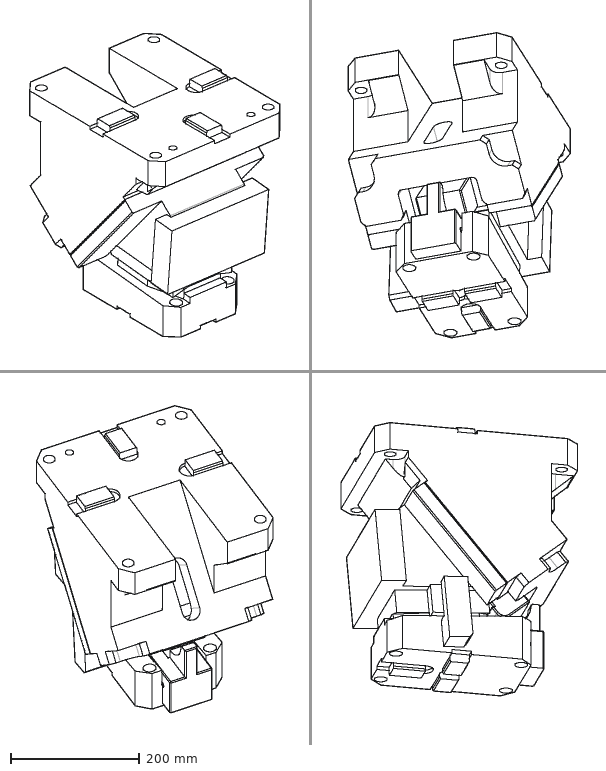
import cadquery as cq
import math


LENGTH = 325.0
WIDTH = 270.0
HEIGHT = 372.0
HALF_WIDTH = WIDTH / 2
FAR = 744.0

KEY_LENGTH = 51.0
KEY_WIDTH = 31.2
KEY_PROUD = 8.5
KEY_SEAT = 5.5
KEY_BEVEL_HEIGHT = 3.5
KEY_BEVEL_WIDTH = 1.5

PLATE_TOP = HEIGHT - KEY_PROUD
PLATE_THICKNESS = 45.0
PLATE_BOTTOM = PLATE_TOP - PLATE_THICKNESS
PLATE_CORNER_X = 20.0
PLATE_CORNER_Y = 18.5
BOLT_INSET_X = 25.3
BOLT_HALF_SPACING = 115.5
BOLT_DIAMETER = 18.2
DOWEL_HALF_SPACING = 80.0
DOWEL_DIAMETER = 12.5
DOWEL_DEPTH = 29.8
PLATE_SIDE_KEY_X = 180.5
PLATE_SIDE_KEY_Y = 69.2
PLATE_END_KEY_X = 255.0

SLIDE_ANGLE = 50.0
TIP_X = 7.5
TIP_Z = 176.5
SLIDE_COS = math.cos(math.radians(SLIDE_ANGLE))
SLIDE_SIN = math.sin(math.radians(SLIDE_ANGLE))
SLIDE_FACE = 125.7
SLIDE_START = 19.7
SLIDE_END = 225.5
RELIEF_FACE = 121.0

WALL_LEFT = 45.8
WALL_RIGHT = 275.3
TROUGH_HALF = 45.0
GUSSET_HALF = 95.2
GUSSET_FILLET = 15.5
GUSSET_LEFT_X = 1.5
GUSSET_LEFT_DROP = 39.0
RIB_FACE = 135.0
RIB_START = 236.0
RIB_HALF = 113.5
RIB_BEVEL = 13.0
TROUGH_SLOT_WIDTH = 30.0
TROUGH_SLOT_LENGTH = 100.5
TROUGH_SLOT_START = 29.8
TROUGH_SLOT_DEPTH = 35.5
TROUGH_RECESS_FLOOR = 176.5
TROUGH_RECESS_X = 62.0
TROUGH_RECESS_RUN = 7.5
TROUGH_RECESS_RISE = 19.7
NOTCH_DEPTH = 21.2
NOTCH_MOUTH_Y = 86.3
NOTCH_FLOOR_Y = 95.0
NOTCH_BEVEL_Y = 126.5
NOTCH_BEVEL = 8.5
NOTCH_ARC_START = 25.3
NOTCH_WALL = 49.5
NOTCH_MOUTH = 57.5
STEP_ACROSS = 106.0
STEP_BEVEL_ACROSS = 8.5
STEP_BEVEL_Y = 6.0
POCKET_HALF = 64.7
POCKET_ACROSS = 57.5
POCKET_DEPTH = 63.2
POCKET_CORNER = 7.5
TONGUE_HALF = 37.5
TONGUE_ACROSS = 72.0
TONGUE_END = 128.7
TONGUE_PROUD = 7.5
TONGUE_NOSE = 15.3
TONGUE_BEVEL = 2.2

DRIVER_LEFT = 60.5
DRIVER_RIGHT = 291.0
DRIVER_HALF = 76.0
DRIVER_BOTTOM = KEY_PROUD
DRIVER_FRONT_CORNER_X = 18.5
DRIVER_REAR_CORNER_X = 20.0
DRIVER_CORNER_Y = 20.0
DRIVER_TILT = 5.0
DRIVER_TOP_LEFT = 82.5
DRIVER_BOLT_INSET_X = 15.0
DRIVER_BOLT_HALF = 53.0
DRIVER_BOLT_DIAMETER = 20.0
DRIVER_SIDE_KEY_X = 176.0
DRIVER_SIDE_KEY_Y = 9.5
DRIVER_END_KEY_X = 220.2
GUIDE_START = 66.2
GUIDE_END = 215.8
GUIDE_TAPER_START = 155.0
GUIDE_HALF = 60.3
GUIDE_CORNER = 17.0
GUIDE_EAVE = 11.5
GUIDE_RIDGE = 20.0
GUIDE_RIDGE_HALF = 30.5
PAD_HALF = 37.2
PAD_HEIGHT = 10.8
CHANNEL_HALF = 38.7
CHANNEL_FLOOR = 51.7
CHANNEL_END = 108.0
STOP_LEFT = 35.0
STOP_HALF = 37.2
STOP_BOTTOM = 13.0
STOP_TOP = 76.5
STOP_BEVEL = 2.0
FINGER_HALF = 10.8
FINGER_RIGHT = 88.5
STOP_SLOT_HALF = 14.0
FINGER_TOP = 131.5
FINGER_THICKNESS = 15.0
FINGER_TOE_TOP = 91.5
STOP_PIN_X = 61.5
STOP_PIN_DIAMETER = 9.0
STOP_PIN_LENGTH = 76.0

FLANGE_THICKNESS = 25.3
FLANGE_BEVEL = 2.2
FLANGE_GAP_HALF = 76.5
BODY_UNDERSIDE = 49.5
BODY_HALF = 76.0
BODY_TOP_ACROSS = 178.2
BLOCK_START = 206.0
BLOCK_THICKNESS = 39.8
BLOCK_HALF = 99.5
BLOCK_TOP = 169.3
HOOK_START = 111.5
HOOK_LENGTH = 38.0
HOOK_BEVEL = 5.5
HOOK_INNER = 96.5
HOOK_OUTER = 118.0
HOOK_FOOT_TOP = -7.8
HOOK_FOOT_BOTTOM = -52.0
LUG_START = 115.5
LUG_BOTTOM = 3.0
LUG_FRONT_LENGTH = 16.5
LUG_BACK_LENGTH = 48.5
LUG_BACK_HALF = 83.0

SLIDE_PROFILE = cq.Plane(
    origin=(TIP_X, 0, TIP_Z), xDir=(SLIDE_SIN, 0, -SLIDE_COS), normal=(0, -1, 0))
SLIDE_PLAN = cq.Plane(
    origin=(TIP_X, 0, TIP_Z), xDir=(SLIDE_SIN, 0, -SLIDE_COS), normal=(SLIDE_COS, 0, SLIDE_SIN))

TILT_COS = math.cos(math.radians(DRIVER_TILT))
TILT_SIN = math.sin(math.radians(DRIVER_TILT))
TILT_PROFILE = cq.Plane(
    origin=(DRIVER_LEFT, 0, DRIVER_TOP_LEFT), xDir=(TILT_COS, 0, -TILT_SIN), normal=(0, -1, 0))
TILT_PLAN = cq.Plane(
    origin=(DRIVER_LEFT, 0, DRIVER_TOP_LEFT), xDir=(TILT_COS, 0, -TILT_SIN), normal=(TILT_SIN, 0, TILT_COS))


def slide_point(across, along):
    """X and Z of a position in the slide frame."""
    x = TIP_X + across * SLIDE_SIN + along * SLIDE_COS
    z = TIP_Z - across * SLIDE_COS + along * SLIDE_SIN
    return x, z


def tilt_point(distance, height):
    """X and Z of a position measured along and square to the driver's tilted top."""
    x = DRIVER_LEFT + distance * TILT_COS + height * TILT_SIN
    z = DRIVER_TOP_LEFT - distance * TILT_SIN + height * TILT_COS
    return x, z


def prism(plane, points, y_low, y_high):
    """Extrude a profile lying in an X-Z type plane from y_low to y_high."""
    outline = cq.Workplane(plane).workplane(offset=-y_high).polyline(points).close()
    return outline.extrude(y_high - y_low)


def box(x_range, y_range, z_range):
    size = [high - low for low, high in (x_range, y_range, z_range)]
    return cq.Workplane("XY").box(*size, centered=False).translate((x_range[0], y_range[0], z_range[0]))


def tilted_box(distances, y_range, heights):
    """Box standing square on the driver's tilted top."""
    (start, end), (low, high) = distances, heights
    points = [(start, low), (end, low), (end, high), (start, high)]
    return prism(TILT_PROFILE, points, *y_range)


def mirrored_pair(shape):
    return shape.union(shape.mirror("XZ"))



def key_bar():
    """Key lying along +X from the origin, standing on its seat, with bevelled top edges."""
    half = KEY_WIDTH / 2
    height = KEY_SEAT + KEY_PROUD
    bevel_start = height - KEY_BEVEL_HEIGHT
    section = [(-half, 0), (half, 0), (half, bevel_start), (half - KEY_BEVEL_WIDTH, height),
               (KEY_BEVEL_WIDTH - half, height), (-half, bevel_start)]
    return cq.Workplane("YZ").polyline(section).close().extrude(KEY_LENGTH)


def key_slot(reach):
    """Slot round-ended behind the key and running out to the edge at +reach."""
    half = KEY_WIDTH / 2
    slot = cq.Workplane("XY").moveTo(0, -half).lineTo(reach, -half).lineTo(reach, half).lineTo(0, half)
    return slot.threePointArc((-half, 0), (0, -half)).close().extrude(KEY_SEAT)


def add_keys(body, seats, face_z, faces_up):
    """Fit a key at each seat: (x, y, heading in degrees, distance to the edge)."""
    def place(shape, seat):
        x, y, heading, _ = seat
        if not faces_up:
            shape = shape.mirror("XY")
        floor = face_z - KEY_SEAT if faces_up else face_z + KEY_SEAT
        return shape.rotate((0, 0, 0), (0, 0, 1), heading).translate((x, y, floor))

    for seat in seats:
        body = body.cut(place(key_slot(seat[3]), seat))
    for seat in seats:
        body = body.union(place(key_bar(), seat))
    return body



def holder_plate():
    corners = [(0, HALF_WIDTH - PLATE_CORNER_Y), (PLATE_CORNER_X, HALF_WIDTH),
               (LENGTH - PLATE_CORNER_X, HALF_WIDTH), (LENGTH, HALF_WIDTH - PLATE_CORNER_Y)]
    outline = corners + [(x, -y) for x, y in reversed(corners)]
    return cq.Workplane("XY", origin=(0, 0, PLATE_BOTTOM)).polyline(outline).close().extrude(PLATE_THICKNESS)


def holder_core():
    """Full-width wedge between the plate and the sliding face."""
    wall_foot = (WALL_LEFT - TIP_X) / SLIDE_COS
    relief_x, relief_z = slide_point(RELIEF_FACE, 0)
    wall_right_z = relief_z + (WALL_RIGHT - relief_x) * SLIDE_SIN / SLIDE_COS
    outline = [(WALL_LEFT, PLATE_BOTTOM), slide_point(0, wall_foot), (TIP_X, TIP_Z),
               slide_point(SLIDE_FACE, 0), slide_point(SLIDE_FACE, SLIDE_END),
               slide_point(RELIEF_FACE, SLIDE_END), (WALL_RIGHT, wall_right_z), (WALL_RIGHT, PLATE_BOTTOM)]
    return prism("XZ", outline, -HALF_WIDTH, HALF_WIDTH)


def gusset_plan(wall_x, outward):
    """Rib from a wall, widening into the wall through concave round corners."""
    end_x = wall_x + outward * LENGTH / 2
    fillet_x = wall_x + outward * GUSSET_FILLET
    foot = GUSSET_HALF + GUSSET_FILLET
    mid = GUSSET_FILLET * (1 - math.sqrt(0.5))
    plan = cq.Workplane("XY").moveTo(end_x, -GUSSET_HALF).lineTo(fillet_x, -GUSSET_HALF)
    plan = plan.threePointArc((wall_x + outward * mid, -GUSSET_HALF - mid), (wall_x, -foot))
    plan = plan.lineTo(wall_x, foot)
    plan = plan.threePointArc((wall_x + outward * mid, GUSSET_HALF + mid), (fillet_x, GUSSET_HALF))
    return plan.lineTo(end_x, GUSSET_HALF).close().extrude(PLATE_BOTTOM)


def left_gusset():
    side = [(GUSSET_LEFT_X, PLATE_BOTTOM), (WALL_LEFT, PLATE_BOTTOM),
            (WALL_LEFT, PLATE_BOTTOM - GUSSET_LEFT_DROP)]
    return gusset_plan(WALL_LEFT, -1).intersect(prism("XZ", side, -HALF_WIDTH, HALF_WIDTH))


def rib_top_along():
    """Along-position where the rib's outer face meets the plate."""
    return (PLATE_BOTTOM - TIP_Z + RIB_FACE * SLIDE_COS) / SLIDE_SIN


def right_gusset():
    side = [(WALL_RIGHT, PLATE_BOTTOM), slide_point(RIB_FACE, rib_top_along()),
            slide_point(RIB_FACE, RIB_START), slide_point(RELIEF_FACE, RIB_START)]
    return gusset_plan(WALL_RIGHT, 1).intersect(prism("XZ", side, -HALF_WIDTH, HALF_WIDTH))


def sloped_rib():
    """Bevelled rib standing on the relief face, cut off by the right-hand wall."""
    section = [(RELIEF_FACE, -RIB_HALF), (RIB_FACE, RIB_BEVEL - RIB_HALF),
               (RIB_FACE, RIB_HALF - RIB_BEVEL), (RELIEF_FACE, RIB_HALF)]
    rib = cq.Workplane(SLIDE_PLAN).workplane(offset=RIB_START).polyline(section).close()
    rib = rib.extrude(rib_top_along() - RIB_START)
    return rib.intersect(box((0, WALL_RIGHT), (-HALF_WIDTH, HALF_WIDTH), (0, PLATE_TOP)))


def trough():
    """Central opening above the back slope."""
    top_along = (PLATE_TOP - TIP_Z) / SLIDE_SIN
    outline = [(TIP_X, TIP_Z), slide_point(0, top_along), (-TIP_X, PLATE_TOP), (-TIP_X, TIP_Z)]
    return prism("XZ", outline, -TROUGH_HALF, TROUGH_HALF)


def trough_slot():
    """Round-ended slot in the back slope, with a level recess sunk in its lower end."""
    middle = TROUGH_SLOT_START + TROUGH_SLOT_LENGTH / 2
    x, z = slide_point(0, middle)
    back_slope = cq.Plane(origin=(x, 0, z), xDir=(SLIDE_COS, 0, SLIDE_SIN), normal=(-SLIDE_SIN, 0, SLIDE_COS))

    def round_ended(depth):
        return cq.Workplane(back_slope).slot2D(TROUGH_SLOT_LENGTH, TROUGH_SLOT_WIDTH).extrude(-depth)

    recess_top = TROUGH_RECESS_FLOOR + TROUGH_RECESS_RISE
    recess_side = [(0, TROUGH_RECESS_FLOOR), (TROUGH_RECESS_X, TROUGH_RECESS_FLOOR),
                   (TROUGH_RECESS_X + TROUGH_RECESS_RUN, recess_top), (0, recess_top)]
    recess = prism("XZ", recess_side, -TROUGH_SLOT_WIDTH, TROUGH_SLOT_WIDTH)
    recess = recess.intersect(round_ended(2 * TROUGH_SLOT_DEPTH))
    return round_ended(TROUGH_SLOT_DEPTH).union(recess)


def tip_notch():
    """Clearance notch in one lower corner: bevelled mouths and one round inner corner."""
    radius = NOTCH_WALL - NOTCH_ARC_START
    middle = radius * math.sqrt(0.5)
    arc_end_y = NOTCH_FLOOR_Y + radius
    plan = cq.Workplane(SLIDE_PLAN).moveTo(0, NOTCH_MOUTH_Y).lineTo(NOTCH_BEVEL, NOTCH_FLOOR_Y)
    plan = plan.lineTo(NOTCH_ARC_START, NOTCH_FLOOR_Y)
    plan = plan.threePointArc((NOTCH_ARC_START + middle, arc_end_y - middle), (NOTCH_WALL, arc_end_y))
    plan = plan.lineTo(NOTCH_WALL, NOTCH_BEVEL_Y).lineTo(NOTCH_MOUTH, HALF_WIDTH).lineTo(0, HALF_WIDTH)
    return plan.close().extrude(NOTCH_DEPTH)


def end_step():
    """Step in one lower outer corner beside the sliding face, with bevelled ends."""
    bevel_start = STEP_ACROSS - STEP_BEVEL_ACROSS
    plan = [(bevel_start, HALF_WIDTH), (STEP_ACROSS, HALF_WIDTH - STEP_BEVEL_Y),
            (STEP_ACROSS, POCKET_HALF + STEP_BEVEL_Y), (bevel_start, POCKET_HALF),
            (SLIDE_FACE, POCKET_HALF), (SLIDE_FACE, HALF_WIDTH)]
    return cq.Workplane(SLIDE_PLAN).polyline(plan).close().extrude(SLIDE_START)


def tongue_pocket():
    length = SLIDE_FACE - POCKET_ACROSS
    pocket = cq.Workplane(SLIDE_PLAN).center(POCKET_ACROSS + length / 2, 0).rect(length, 2 * POCKET_HALF)
    pocket = pocket.extrude(POCKET_DEPTH)
    low_x, low_z = slide_point(POCKET_ACROSS, POCKET_DEPTH / 2)
    for side in (-1, 1):
        corner = cq.selectors.NearestToPointSelector((low_x, side * POCKET_HALF, low_z))
        pocket = pocket.edges(corner).fillet(POCKET_CORNER)
    return pocket


def tongue():
    """Round-nosed guide with bevelled sides, standing in the pocket and reaching out of the lower face."""
    nose_middle = TONGUE_NOSE * (1 - math.sqrt(0.5))
    side = cq.Workplane(SLIDE_PROFILE).moveTo(TONGUE_ACROSS, -TONGUE_PROUD)
    side = side.lineTo(TONGUE_END - TONGUE_NOSE, -TONGUE_PROUD)
    side = side.threePointArc((TONGUE_END - nose_middle, nose_middle - TONGUE_PROUD),
                              (TONGUE_END, TONGUE_NOSE - TONGUE_PROUD))
    side = side.lineTo(TONGUE_END, SLIDE_START).lineTo(SLIDE_FACE, SLIDE_START)
    side = side.lineTo(SLIDE_FACE, POCKET_DEPTH).lineTo(TONGUE_ACROSS, POCKET_DEPTH).close()
    return side.extrude(TONGUE_HALF, both=True).faces("<Y or >Y").chamfer(TONGUE_BEVEL)


def make_holder():
    body = holder_plate().union(holder_core()).union(left_gusset()).union(right_gusset()).union(sloped_rib())
    body = body.cut(trough()).cut(trough_slot())
    body = body.cut(mirrored_pair(tip_notch())).cut(mirrored_pair(end_step()))
    body = body.cut(tongue_pocket()).union(tongue())

    plate_face = cq.Workplane("XY", origin=(0, 0, PLATE_TOP))
    bolt_points = [(x, y) for x in (BOLT_INSET_X, LENGTH - BOLT_INSET_X)
                   for y in (-BOLT_HALF_SPACING, BOLT_HALF_SPACING)]
    bolts = plate_face.pushPoints(bolt_points).circle(BOLT_DIAMETER / 2).extrude(-PLATE_THICKNESS)
    dowel_points = [(LENGTH - BOLT_INSET_X, y) for y in (-DOWEL_HALF_SPACING, DOWEL_HALF_SPACING)]
    dowels = plate_face.pushPoints(dowel_points).circle(DOWEL_DIAMETER / 2).extrude(-DOWEL_DEPTH)
    body = body.cut(bolts).cut(dowels)

    seats = [(PLATE_SIDE_KEY_X, PLATE_SIDE_KEY_Y, 90, HALF_WIDTH - PLATE_SIDE_KEY_Y),
             (PLATE_SIDE_KEY_X, -PLATE_SIDE_KEY_Y, -90, HALF_WIDTH - PLATE_SIDE_KEY_Y),
             (PLATE_END_KEY_X, 0, 0, LENGTH - PLATE_END_KEY_X)]
    return add_keys(body, seats, PLATE_TOP, True)



def guide_plan():
    """Guide block plan on the tilted top: bevelled front corners, tapering towards the rear pad."""
    side = [(GUIDE_START, GUIDE_HALF - GUIDE_CORNER), (GUIDE_START + GUIDE_CORNER, GUIDE_HALF),
            (GUIDE_TAPER_START, GUIDE_HALF), (GUIDE_END, PAD_HALF)]
    return side + [(distance, -y) for distance, y in reversed(side)]


def guide_roof():
    """Roof-shaped bar whose top is the guide's sliding surface."""
    section = [(-GUIDE_HALF, 0), (GUIDE_HALF, 0), (GUIDE_HALF, GUIDE_EAVE), (GUIDE_RIDGE_HALF, GUIDE_RIDGE),
               (-GUIDE_RIDGE_HALF, GUIDE_RIDGE), (-GUIDE_HALF, GUIDE_EAVE)]
    x, z = tilt_point(GUIDE_START, 0)
    end_plane = cq.Plane(origin=(x, 0, z), xDir=(0, 1, 0), normal=(TILT_COS, 0, -TILT_SIN))
    return cq.Workplane(end_plane).polyline(section).close().extrude(GUIDE_END - GUIDE_START)


def guide_block():
    blank = cq.Workplane(TILT_PLAN).polyline(guide_plan()).close().extrude(GUIDE_RIDGE)
    return blank.intersect(guide_roof())


def stop_block():
    """Stop with a finger whose back sweeps down in a concave arc."""
    block = box((STOP_LEFT, CHANNEL_END), (-STOP_HALF, STOP_HALF), (STOP_BOTTOM, STOP_TOP))
    block = block.edges("(<X exc <Z) or (|X and >Z)").chamfer(STOP_BEVEL)
    block = block.cut(box((FINGER_RIGHT, CHANNEL_END), (-STOP_SLOT_HALF, STOP_SLOT_HALF), (0, STOP_TOP)))
    neck_x = STOP_LEFT + FINGER_THICKNESS
    radius = FINGER_RIGHT - neck_x
    middle = radius * (1 - math.sqrt(0.5))
    finger = cq.Workplane("XZ").moveTo(STOP_LEFT, STOP_BOTTOM).lineTo(STOP_LEFT, FINGER_TOP)
    finger = finger.lineTo(neck_x, FINGER_TOP).lineTo(neck_x, FINGER_TOE_TOP + radius)
    finger = finger.threePointArc((neck_x + middle, FINGER_TOE_TOP + middle), (FINGER_RIGHT, FINGER_TOE_TOP))
    finger = finger.lineTo(FINGER_RIGHT, STOP_BOTTOM).close().extrude(FINGER_HALF, both=True)
    finger = finger.edges("(<X exc <Z) or (|Y and >Z)").chamfer(STOP_BEVEL)
    pin = cq.Workplane("XZ", origin=(STOP_PIN_X, 0, CHANNEL_FLOOR)).circle(STOP_PIN_DIAMETER / 2)
    return block.union(finger).union(pin.extrude(STOP_PIN_LENGTH / 2, both=True))


def make_driver():
    corner_y = DRIVER_HALF - DRIVER_CORNER_Y
    corners = [(DRIVER_LEFT, corner_y), (DRIVER_LEFT + DRIVER_FRONT_CORNER_X, DRIVER_HALF),
               (DRIVER_RIGHT - DRIVER_REAR_CORNER_X, DRIVER_HALF), (DRIVER_RIGHT, corner_y)]
    outline = corners + [(x, -y) for x, y in reversed(corners)]
    body = cq.Workplane("XY", origin=(0, 0, DRIVER_BOTTOM)).polyline(outline).close()
    body = body.extrude(DRIVER_TOP_LEFT - DRIVER_BOTTOM)
    body = body.cut(tilted_box((-FAR, FAR), (-DRIVER_HALF, DRIVER_HALF), (0, FAR)))

    pad = tilted_box((GUIDE_END, FAR), (-PAD_HALF, PAD_HALF), (-PAD_HEIGHT, PAD_HEIGHT))
    pad = pad.intersect(box((DRIVER_LEFT, DRIVER_RIGHT), (-PAD_HALF, PAD_HALF), (0, HEIGHT)))
    body = body.union(guide_block()).union(pad)

    bolt_points = [(x, y) for x in (DRIVER_LEFT + DRIVER_BOLT_INSET_X, DRIVER_RIGHT - DRIVER_BOLT_INSET_X)
                   for y in (-DRIVER_BOLT_HALF, DRIVER_BOLT_HALF)]
    body = body.cut(cq.Workplane("XY").pushPoints(bolt_points).circle(DRIVER_BOLT_DIAMETER / 2)
                    .extrude(DRIVER_TOP_LEFT))
    channel = box((DRIVER_LEFT, CHANNEL_END), (-CHANNEL_HALF, CHANNEL_HALF), (CHANNEL_FLOOR, DRIVER_TOP_LEFT))
    body = body.cut(channel).union(stop_block())

    seats = [(DRIVER_SIDE_KEY_X, DRIVER_SIDE_KEY_Y, 90, DRIVER_HALF - DRIVER_SIDE_KEY_Y),
             (DRIVER_SIDE_KEY_X, -DRIVER_SIDE_KEY_Y, -90, DRIVER_HALF - DRIVER_SIDE_KEY_Y),
             (DRIVER_END_KEY_X, 0, 0, DRIVER_RIGHT - DRIVER_END_KEY_X)]
    return add_keys(body, seats, DRIVER_BOTTOM, False)



def slider_flange():
    """Full-width plate on the sliding face, open in the middle of its lower end."""
    outer = SLIDE_FACE + FLANGE_THICKNESS
    outline = [(SLIDE_FACE, SLIDE_START), (outer, SLIDE_START), (outer, SLIDE_END), (SLIDE_FACE, SLIDE_END)]
    flange = prism(SLIDE_PROFILE, outline, -HALF_WIDTH, HALF_WIDTH)
    ends = flange.faces("<Y or >Y").edges()
    long_edges = ends.filter(lambda edge: edge.Length() > FLANGE_THICKNESS + FLANGE_BEVEL)
    flange = long_edges.chamfer(FLANGE_BEVEL)
    opening = tilted_box((-FAR, FAR), (-FLANGE_GAP_HALF, FLANGE_GAP_HALF), (-FAR, BODY_UNDERSIDE))
    return flange.cut(opening)


def slider_body():
    """Wide upper body, narrower foot on the guide, and the mounting block at the end."""
    block_end = BLOCK_START + BLOCK_THICKNESS
    face_x, face_z = slide_point(SLIDE_FACE, 0)
    underside_x, underside_z = tilt_point(0, BODY_UNDERSIDE)
    slide_slope = SLIDE_SIN / SLIDE_COS
    tilt_slope = -TILT_SIN / TILT_COS
    rise_at_zero = underside_z - tilt_slope * underside_x - (face_z - slide_slope * face_x)
    corner_x = rise_at_zero / (slide_slope - tilt_slope)
    corner_z = face_z + slide_slope * (corner_x - face_x)
    outline = [(corner_x, corner_z), slide_point(SLIDE_FACE, SLIDE_END),
               slide_point(BODY_TOP_ACROSS, SLIDE_END),
               tilt_point(GUIDE_END, BLOCK_TOP), tilt_point(GUIDE_END, BODY_UNDERSIDE)]
    upper = prism("XZ", outline, -BODY_HALF, BODY_HALF)
    foot = tilted_box((GUIDE_START, GUIDE_END), (-GUIDE_HALF, GUIDE_HALF), (0, BODY_UNDERSIDE))
    foot = foot.cut(guide_roof())
    block = tilted_box((BLOCK_START, block_end), (-BLOCK_HALF, BLOCK_HALF), (BODY_UNDERSIDE, BLOCK_TOP))
    return upper.union(foot).union(block)


def return_hook():
    """Lugs on the +Y side carrying a hook that reaches in to the driver's side."""
    span = (HOOK_START, HOOK_START + HOOK_LENGTH)
    front_lug = tilted_box((LUG_START, LUG_START + LUG_FRONT_LENGTH), (GUIDE_HALF, HOOK_INNER),
                           (LUG_BOTTOM, BODY_UNDERSIDE))
    back_lug = tilted_box((LUG_START, LUG_START + LUG_BACK_LENGTH), (GUIDE_HALF, LUG_BACK_HALF),
                          (LUG_BOTTOM, BODY_UNDERSIDE))
    column = tilted_box(span, (HOOK_INNER, HOOK_OUTER), (HOOK_FOOT_BOTTOM, BODY_UNDERSIDE))
    foot = tilted_box(span, (DRIVER_HALF, HOOK_OUTER), (HOOK_FOOT_BOTTOM, HOOK_FOOT_TOP))
    hook = column.union(foot)
    bevel_x, bevel_z = tilt_point(HOOK_START, HOOK_FOOT_BOTTOM)
    toe = cq.selectors.NearestToPointSelector((bevel_x, (DRIVER_HALF + HOOK_OUTER) / 2, bevel_z))
    hook = hook.edges(toe).chamfer(HOOK_BEVEL)
    return front_lug.union(back_lug).union(hook)


def make_slider():
    return slider_flange().union(slider_body()).union(return_hook())


holder = make_holder()
driver = make_driver()
slider = make_slider()

result = cq.Compound.makeCompound([holder.val(), slider.val(), driver.val()])